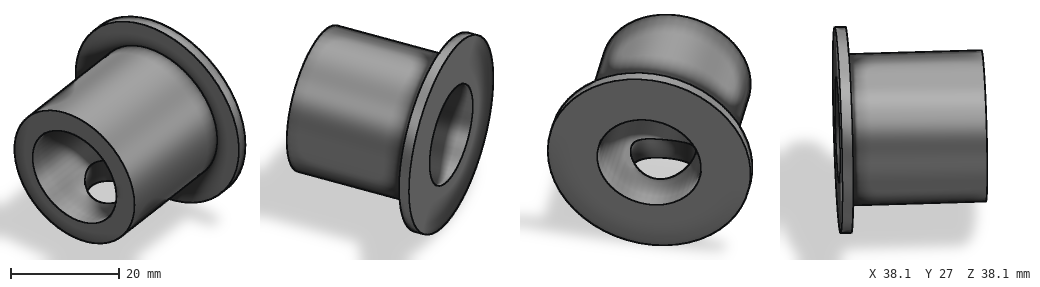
import cadquery as cq

flange_diameter = 38.1
flange_thickness = 2.0
barrel_diameter = 28.0
bore_diameter = 19.5
overall_length = 27.0

radial_hole_diameter = 12.0
radial_hole_from_flange_face = 14.0


def cylinder_along_y(diameter, length):
    """Solid cylinder whose end face lies at Y = 0 and which extends toward -Y."""
    return cq.Workplane("XZ").circle(diameter / 2).extrude(length)


def radial_hole_cutter():
    """Cylinder from the part axis out through the bottom wall of the barrel."""
    return (
        cq.Workplane("XY")
        .center(0, -radial_hole_from_flange_face)
        .circle(radial_hole_diameter / 2)
        .extrude(-barrel_diameter)
    )


flange = cylinder_along_y(flange_diameter, flange_thickness)
barrel = cylinder_along_y(barrel_diameter, overall_length)
bore = cylinder_along_y(bore_diameter, overall_length)

result = flange.union(barrel).cut(bore).cut(radial_hole_cutter())